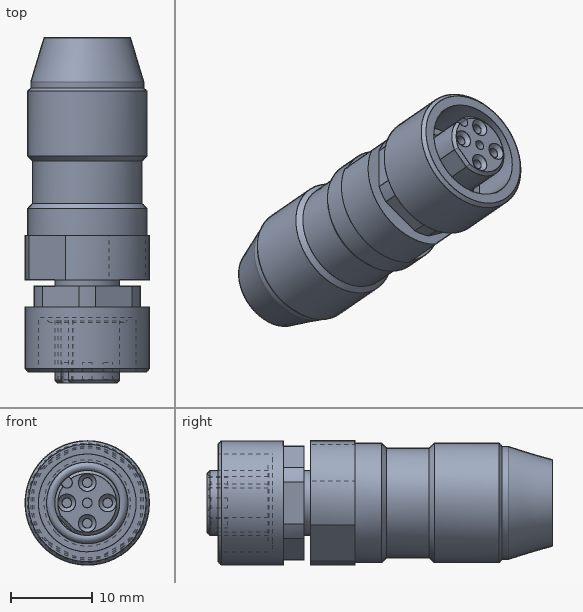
import cadquery as cq

LENGTH = 42.45

INSERT_D = 8.0
INSERT_CHAMFER = 0.4
INSERT_FLAT_OFFSET = 3.78
KEYWAY_W = 1.3
KEYWAY_OFFSET = 3.52

CONTACT_D = 1.2
CONTACT_MOUTH_D = 2.15
CONTACT_OFFSET = 2.5
CONTACT_COUNT = 4
CONTACT_DEPTH = 2.55

SLEEVE_D = 15.3
SLEEVE_FRONT = 1.35
SLEEVE_BACK = 9.4
SLEEVE_CHAMFER = 0.42
SLEEVE_BORE_D = 12.0
SLEEVE_FLOOR = 8.05
RING_OUTER_D = 10.0
RING_SECTION_D = 1.2

NUT_D = 14.0
NUT_ACROSS_FLATS = 13.05
NUT_BACK = 11.93

FLANGE_FRONT = 12.7
FLANGE_BACK = 18.15
FLANGE_ACROSS_FLATS = 13.92

BODY_D = 14.7
GROOVE_D = 13.5
GROOVE_FRONT = 21.45
GROOVE_BACK = 27.95
GROOVE_BEVEL = 0.65
BODY_BACK = 36.25
BODY_BEVEL = 0.4
COLLAR_D = 13.9
COLLAR_BACK = 37.0
CABLE_END_D = 10.6


def cylinder(diameter, front, back):
    """Cylinder on the connector axis from Y = front to Y = back."""
    plane = cq.Plane(origin=(0, front, 0), xDir=(1, 0, 0), normal=(0, 1, 0))
    return cq.Workplane(plane).circle(diameter / 2).extrude(back - front)


def bar(width, height, front, back):
    """Rectangular bar centred on the connector axis, width along X and height along Z."""
    middle = (front + back) / 2
    return cq.Workplane("XY").box(width, back - front, height).translate((0, middle, 0))


def about_axis(solid, degrees):
    """Turn a solid about the connector axis; positive angles carry +Z towards +X."""
    return solid.rotate((0, 0, 0), (0, 1, 0), degrees)


def cable_body():
    """Turned grip body with a bevelled groove and a tapered cable end."""
    body_r = BODY_D / 2
    groove_r = GROOVE_D / 2
    profile = [
        (0, FLANGE_BACK),
        (body_r, FLANGE_BACK),
        (body_r, GROOVE_FRONT),
        (groove_r, GROOVE_FRONT + GROOVE_BEVEL),
        (groove_r, GROOVE_BACK - GROOVE_BEVEL),
        (body_r, GROOVE_BACK),
        (body_r, BODY_BACK - BODY_BEVEL),
        (COLLAR_D / 2, BODY_BACK),
        (COLLAR_D / 2, COLLAR_BACK),
        (CABLE_END_D / 2, LENGTH),
        (0, LENGTH),
    ]
    return cq.Workplane("XY").polyline(profile).close().revolve(360, (0, 0), (0, 1))


def flange():
    """Round flange with a pair of spanner flats facing the -X, +Z and +X, -Z diagonals."""
    flats = bar(SLEEVE_D, FLANGE_ACROSS_FLATS, FLANGE_FRONT, FLANGE_BACK)
    return cylinder(SLEEVE_D, FLANGE_FRONT, FLANGE_BACK).intersect(about_axis(flats, -45))


def nut():
    """Hexagon with its corners turned round; two flats face -X and +X."""
    blank = cylinder(NUT_D, SLEEVE_BACK, NUT_BACK)
    for degrees in (0, 60, 120):
        flats = bar(NUT_ACROSS_FLATS, NUT_D, SLEEVE_BACK, NUT_BACK)
        blank = blank.intersect(about_axis(flats, degrees))
    return blank


def sleeve():
    """Coupling sleeve, open at the front."""
    outside = cylinder(SLEEVE_D, SLEEVE_FRONT, SLEEVE_BACK).faces("<Y").chamfer(SLEEVE_CHAMFER)
    return outside.cut(cylinder(SLEEVE_BORE_D, SLEEVE_FRONT, SLEEVE_FLOOR))


def sealing_ring():
    """Round-section ring, half sunk into the sleeve floor, with a bore that fits the insert."""
    centre_r = (RING_OUTER_D - RING_SECTION_D) / 2
    section = cq.Workplane("XY").center(centre_r, SLEEVE_FLOOR).circle(RING_SECTION_D / 2)
    ring = section.revolve(360, (-centre_r, 0), (-centre_r, 1))
    return ring.cut(cylinder(INSERT_D, 0, SLEEVE_FLOOR))


def insert():
    """Insert with a flat, a keyway and a countersunk ring of contact holes."""
    core = cylinder(INSERT_D, 0, SLEEVE_FLOOR).faces("<Y").chamfer(INSERT_CHAMFER)
    flat_limit = bar(2 * INSERT_D, 2 * INSERT_D, 0, SLEEVE_FLOOR)
    flat_limit = flat_limit.faces("<Z").edges("<Y").chamfer(INSERT_CHAMFER)
    flat_limit = flat_limit.translate((0, 0, INSERT_D - INSERT_FLAT_OFFSET))
    core = core.intersect(about_axis(flat_limit, 45))

    keyway = cylinder(KEYWAY_W, 0, SLEEVE_FLOOR)
    keyway = keyway.union(bar(KEYWAY_W, INSERT_D, 0, SLEEVE_FLOOR).translate((0, 0, INSERT_D / 2)))
    core = core.cut(about_axis(keyway.translate((0, 0, KEYWAY_OFFSET)), -45))

    hole = cylinder(CONTACT_D, 0, CONTACT_DEPTH)
    sink = (CONTACT_MOUTH_D - CONTACT_D) / 2
    mouth = cq.Workplane(cq.Solid.makeCone(
        CONTACT_MOUTH_D / 2, CONTACT_D / 2, sink, cq.Vector(0, 0, 0), cq.Vector(0, 1, 0)))
    contact = hole.union(mouth).translate((0, 0, CONTACT_OFFSET))
    core = core.cut(hole)
    for index in range(CONTACT_COUNT):
        core = core.cut(about_axis(contact, index * 360 / CONTACT_COUNT))
    return core


neck = cylinder(INSERT_D, NUT_BACK, FLANGE_FRONT)

result = cable_body()
for piece in (flange(), neck, nut(), sleeve(), sealing_ring(), insert()):
    result = result.union(piece)